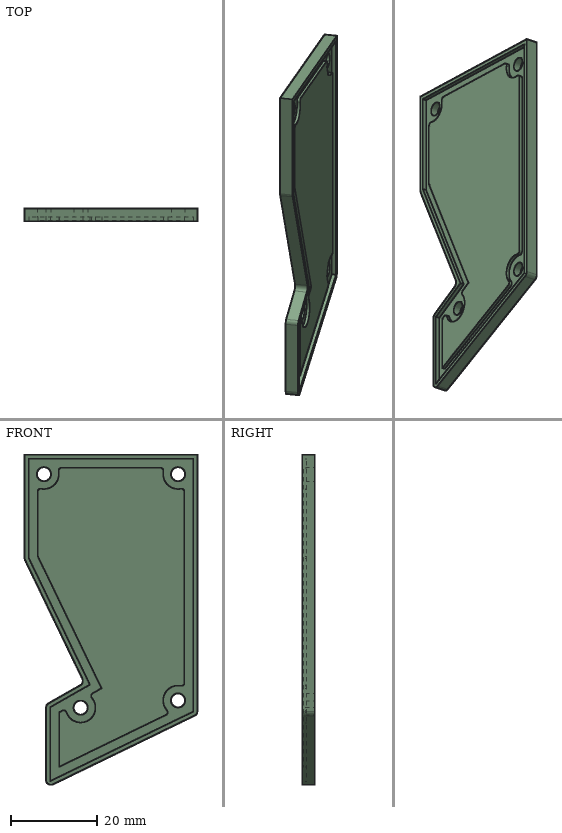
import cadquery as cq
import math

width = 40.0
thickness = 3.0
height = 76.4

left_break_z = 52.25
notch_x = 13.8
notch_z = 23.6
foot_x = 5.0
foot_top_z = 18.6
foot_bottom_z = -0.7
right_bottom_z = 16.35
corner_radius = 1.15

rim_width = 1.0
recess_depth = 1.0
pad_margin = 3.05
pad_height = 0.8
pad_corner_radius = 0.7

hole_diameter = 3.2
clearance_radius = 3.4
edge_tolerance = 0.01
hole_inset = 4.5
right_hole_x = width - hole_inset
top_hole_z = height - hole_inset
lower_right_hole = (right_hole_x, 19.55)
foot_hole = (13.0, 17.9)
hole_centers = [
    (hole_inset, top_hole_z),
    (right_hole_x, top_hole_z),
    lower_right_hole,
    foot_hole,
]

outline = [
    (0, height),
    (width, height),
    (width, right_bottom_z),
    (foot_x, foot_bottom_z),
    (foot_x, foot_top_z),
    (notch_x, notch_z),
    (0, left_break_z),
]
rounded_corners = outline[2:]


def plane_at(depth):
    """XZ plane lying at the given depth behind the front face."""
    return cq.Workplane("XZ", origin=(0, depth, 0))


def inset_prism(inset, front, back):
    """Prism of the outline shrunk by inset, between two depths."""
    sketch = plane_at(front).polyline(outline).close()
    if inset:
        sketch = sketch.offset2D(-inset, "intersection")
    return sketch.extrude(front - back)


def discs(radius, front, back):
    """Cylinders on every hole center, between two depths."""
    return plane_at(front).pushPoints(hole_centers).circle(radius).extrude(front - back)


def make_body():
    """Plate with every outline corner below the top edge rounded."""
    body = inset_prism(0, 0, thickness)
    for x, z in rounded_corners:
        edge = cq.selectors.NearestToPointSelector((x, thickness / 2, z))
        body = body.edges("|Y").edges(edge).fillet(corner_radius)
    return body


def is_on_clearance(edge):
    """Whether an edge along Y lies on the rim of a hole clearance."""
    middle = edge.Center()
    return any(
        abs(math.hypot(middle.x - x, middle.z - z) - clearance_radius) < edge_tolerance
        for x, z in hole_centers
    )


def make_pad():
    """Raised pad; every corner made by a hole clearance is rounded."""
    front = recess_depth - pad_height
    pad = inset_prism(pad_margin, front, recess_depth)
    pad = pad.cut(discs(clearance_radius, front, recess_depth))
    corners = [edge for edge in pad.edges("|Y").vals() if is_on_clearance(edge)]
    return pad.newObject(corners).fillet(pad_corner_radius)


recess = inset_prism(rim_width, 0, recess_depth)
holes = discs(hole_diameter / 2, 0, thickness)
result = make_body().cut(recess).union(make_pad()).cut(holes)